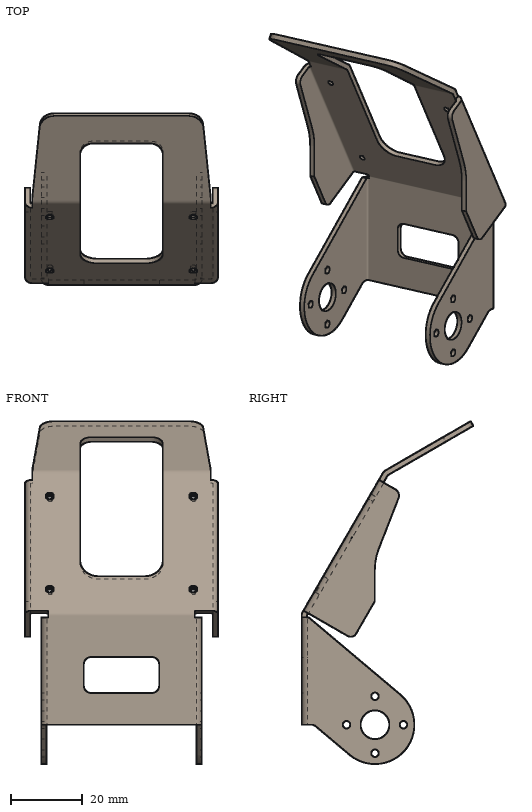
import cadquery as cq
import math

SHEET = 1.5
INNER_RADIUS = 0.5
OUTER_RADIUS = SHEET + INNER_RADIUS
SECOND_INNER_RADIUS = 1.15
BEND_ANGLE = 30.0
RELIEF = 0.5
THROUGH = 4 * SHEET

LOWER_WIDTH = 44.95
LOWER_WEB_WIDTH = LOWER_WIDTH - 2 * OUTER_RADIUS
LOWER_LENGTH = 30.5
PIVOT_DEPTH = 20.5
PIVOT_BOSS_RADIUS = 11.0
PIVOT_BORE = 8.0
PIVOT_SCREW_HOLE = 2.0
PIVOT_SCREW_CIRCLE_RADIUS = 8.0
FLANGE_FOOT_RADIUS = 2.0
WINDOW_WIDTH = 21.0
WINDOW_HEIGHT = 10.0
WINDOW_RADIUS = 2.0
WINDOW_CENTER = 13.9

UPPER_WIDTH = 54.0
UPPER_WEB_WIDTH = UPPER_WIDTH - 2 * OUTER_RADIUS
UPPER_LENGTH = 44.7
UPPER_FLANGE_TOP = 42.65
UPPER_FLANGE_DEPTH = 16.0
UPPER_FLANGE_TOP_DEPTH = 7.1
UPPER_FLANGE_TOP_CORNER = 2.0
UPPER_FLANGE_BOTTOM_CORNER = 1.7
UPPER_FLANGE_WAIST_RADIUS = 15.3
UPPER_FLANGE_WAIST = 23.0
MOUNT_HOLE = 1.5
MOUNT_CHAMFER = 0.4
MOUNT_HALF_SPACING = 20.0
MOUNT_HEIGHTS = (7.4, 37.4)

TOP_LENGTH = 27.3
TOP_END_HALF_WIDTH = 22.5
TOP_CORNER = 4.0

OPENING_WIDTH = 23.0
OPENING_START = 11.6
OPENING_END = 18.4
OPENING_LOWER_RADIUS = 5.0
OPENING_UPPER_RADIUS = 3.45


def frame_after_bend(frame, length, inner_radius):
    """Lean, Y and Z of the panel that follows a panel of the given length and its bend."""
    radius = inner_radius + SHEET
    lean, y, z = frame
    start = math.radians(lean)
    end = math.radians(lean + BEND_ANGLE)
    y += length * math.sin(start) + radius * (math.cos(start) - math.cos(end))
    z += length * math.cos(start) + radius * (math.sin(end) - math.sin(start))
    return lean + BEND_ANGLE, y, z


LOWER_FRAME = (0.0, 0.0, 0.0)
UPPER_FRAME = frame_after_bend(LOWER_FRAME, LOWER_LENGTH, INNER_RADIUS)
TOP_FRAME = frame_after_bend(UPPER_FRAME, UPPER_LENGTH, SECOND_INNER_RADIUS)


def place(shape, frame):
    """Lean an upright shape back and move it to its frame."""
    lean, y, z = frame
    return shape.rotate((0, 0, 0), (1, 0, 0), -lean).translate((0, y, z))


def web(width, bottom, top):
    """Flat plate centred on X, between two heights."""
    plate = cq.Workplane("XY").box(width, SHEET, top - bottom, centered=(True, False, False))
    return plate.translate((0, 0, bottom))


def cross_bend(width, height, inner_radius):
    """Curved stretch that starts at the given height and leans the sheet back."""
    outer_radius = inner_radius + SHEET

    def point(radius, degrees):
        angle = math.radians(degrees)
        return outer_radius - radius * math.cos(angle), height + radius * math.sin(angle)

    return (
        cq.Workplane("YZ")
        .moveTo(*point(outer_radius, 0))
        .threePointArc(point(outer_radius, BEND_ANGLE / 2), point(outer_radius, BEND_ANGLE))
        .lineTo(*point(inner_radius, BEND_ANGLE))
        .threePointArc(point(inner_radius, BEND_ANGLE / 2), point(inner_radius, 0))
        .close()
        .extrude(width / 2, both=True)
    )


def channel(width, depth, bottom, top):
    """Web with a side flange bent back along each edge."""
    height = top - bottom
    outer = cq.Workplane("XY").box(width, 2 * depth, height).edges("|Z").fillet(OUTER_RADIUS)
    inner = (
        cq.Workplane("XY")
        .box(width - 2 * SHEET, 2 * (depth - SHEET), height)
        .edges("|Z")
        .fillet(INNER_RADIUS)
    )
    back = cq.Workplane("XY").box(width, depth, height).translate((0, depth / 2, 0))
    return outer.cut(inner).cut(back).translate((0, depth, bottom + height / 2))


def across(profile, width):
    """Extrude a side profile over the full width."""
    return profile.extrude(width, both=True)


def lower_panel():
    flange_top = LOWER_LENGTH - RELIEF
    tangent_rise = math.atan2(flange_top, PIVOT_DEPTH - OUTER_RADIUS)
    pivot_distance = math.hypot(flange_top, PIVOT_DEPTH - OUTER_RADIUS)
    slope = tangent_rise - math.asin(PIVOT_BOSS_RADIUS / pivot_distance)
    normal_y = PIVOT_BOSS_RADIUS * math.sin(slope)
    normal_z = PIVOT_BOSS_RADIUS * math.cos(slope)
    foot = PIVOT_DEPTH - normal_y - normal_z / math.tan(slope)

    outline = (
        cq.Workplane("YZ")
        .lineTo(0, flange_top)
        .lineTo(OUTER_RADIUS, flange_top)
        .lineTo(PIVOT_DEPTH + normal_y, normal_z)
        .threePointArc(
            (PIVOT_DEPTH + normal_z, -normal_y),
            (PIVOT_DEPTH - normal_y, -normal_z),
        )
        .lineTo(foot, 0)
        .close()
    )
    outline = across(outline, LOWER_WIDTH)
    foot_edge = cq.selectors.NearestToPointSelector((0, foot, 0))
    outline = outline.edges("|X").edges(foot_edge).fillet(FLANGE_FOOT_RADIUS)
    reach = PIVOT_DEPTH + PIVOT_BOSS_RADIUS
    body = channel(LOWER_WIDTH, reach, -PIVOT_BOSS_RADIUS, flange_top).intersect(outline)
    body = body.union(web(LOWER_WEB_WIDTH, 0, LOWER_LENGTH))

    screws = cq.Workplane("YZ").center(PIVOT_DEPTH, 0)
    screws = screws.polarArray(PIVOT_SCREW_CIRCLE_RADIUS, 0, 360, 4).circle(PIVOT_SCREW_HOLE / 2)
    bore = cq.Workplane("YZ").center(PIVOT_DEPTH, 0).circle(PIVOT_BORE / 2)
    window = (
        cq.Workplane("XY")
        .box(WINDOW_WIDTH, THROUGH, WINDOW_HEIGHT)
        .edges("|Y")
        .fillet(WINDOW_RADIUS)
        .translate((0, 0, WINDOW_CENTER))
    )
    return body.cut(across(screws, LOWER_WIDTH)).cut(across(bore, LOWER_WIDTH)).cut(window)


def flared_neck():
    """Foot of the upper web, widening above the first bend with a rounded corner each side."""
    neck = web(LOWER_WEB_WIDTH + 2 * RELIEF, 0, RELIEF)
    corner = LOWER_WEB_WIDTH / 2 + RELIEF
    rounding = cq.Workplane("XZ").pushPoints([(-corner, 0), (corner, 0)]).circle(RELIEF)
    return neck.cut(rounding.extrude(THROUGH, both=True))


def upper_panel():
    lean, frame_y, _ = UPPER_FRAME
    lean = math.radians(lean)
    to_plane = PIVOT_DEPTH - frame_y

    def upright_depth(height):
        return (to_plane - height * math.sin(lean)) / math.cos(lean)

    upright_start = (to_plane - UPPER_FLANGE_DEPTH * math.cos(lean)) / math.sin(lean)
    waist = (upright_depth(UPPER_FLANGE_WAIST), UPPER_FLANGE_WAIST)
    outline = (
        cq.Workplane("YZ")
        .moveTo(0, RELIEF)
        .lineTo(0, UPPER_FLANGE_TOP)
        .lineTo(UPPER_FLANGE_TOP_DEPTH, UPPER_FLANGE_TOP)
        .lineTo(*waist)
        .lineTo(UPPER_FLANGE_DEPTH, upright_start)
        .lineTo(UPPER_FLANGE_DEPTH, RELIEF)
        .close()
    )
    outline = across(outline, UPPER_WIDTH)

    def round_edge(shape, point, radius):
        edge = cq.selectors.NearestToPointSelector((0, *point))
        return shape.edges("|X").edges(edge).fillet(radius)

    outline = round_edge(outline, waist, UPPER_FLANGE_WAIST_RADIUS)
    outline = round_edge(outline, (UPPER_FLANGE_TOP_DEPTH, UPPER_FLANGE_TOP), UPPER_FLANGE_TOP_CORNER)
    outline = round_edge(outline, (UPPER_FLANGE_DEPTH, RELIEF), UPPER_FLANGE_BOTTOM_CORNER)
    body = channel(UPPER_WIDTH, UPPER_FLANGE_DEPTH, RELIEF, UPPER_FLANGE_TOP).intersect(outline)
    body = body.union(flared_neck())
    body = body.union(web(UPPER_WEB_WIDTH, RELIEF, UPPER_LENGTH))

    mounts = [(side * MOUNT_HALF_SPACING, height) for side in (-1, 1) for height in MOUNT_HEIGHTS]
    holes = cq.Workplane("XZ").pushPoints(mounts).circle(MOUNT_HOLE / 2).extrude(THROUGH, both=True)
    mouth = MOUNT_HOLE / 2 + MOUNT_CHAMFER
    cone = cq.Solid.makeCone(mouth, MOUNT_HOLE / 2, MOUNT_CHAMFER, dir=cq.Vector(0, 1, 0))
    for x, height in mounts:
        body = body.cut(cq.Workplane(cone.translate(cq.Vector(x, 0, height))))
    return body.cut(holes)


def top_panel():
    half_width = UPPER_WEB_WIDTH / 2
    return (
        cq.Workplane("XZ")
        .moveTo(-half_width, 0)
        .lineTo(-TOP_END_HALF_WIDTH, TOP_LENGTH)
        .lineTo(TOP_END_HALF_WIDTH, TOP_LENGTH)
        .lineTo(half_width, 0)
        .close()
        .extrude(-SHEET)
        .edges("|Y and >Z")
        .fillet(TOP_CORNER)
    )


def opening(bottom, top, rounded_end, radius):
    """Cutter for one stretch of the large opening, with rounded corners at one end."""
    cutter = cq.Workplane("XY").box(OPENING_WIDTH, THROUGH, top - bottom)
    cutter = cutter.faces(rounded_end).edges("|Y").fillet(radius)
    return cutter.translate((0, 0, (top + bottom) / 2))


first_bend = cross_bend(LOWER_WEB_WIDTH, LOWER_LENGTH, INNER_RADIUS)
second_bend = cross_bend(UPPER_WEB_WIDTH, UPPER_LENGTH, SECOND_INNER_RADIUS)
opening_below = opening(OPENING_START, UPPER_LENGTH + SHEET, "<Z", OPENING_LOWER_RADIUS)
opening_above = opening(-SHEET, OPENING_END, ">Z", OPENING_UPPER_RADIUS)

result = (
    place(lower_panel(), LOWER_FRAME)
    .union(place(first_bend, LOWER_FRAME))
    .union(place(upper_panel(), UPPER_FRAME))
    .union(place(second_bend, UPPER_FRAME))
    .union(place(top_panel(), TOP_FRAME))
    .cut(place(opening_below, UPPER_FRAME))
    .cut(place(opening_above, TOP_FRAME))
)